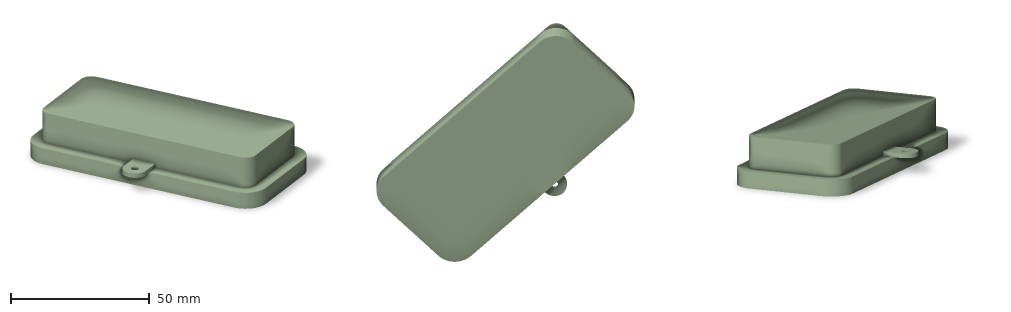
import cadquery as cq

flange_length = 95.3
flange_width = 45.1
flange_height = 6.3
flange_corner_radius = 8.4

overall_height = 18.2
body_length = 86.7
body_width = 36.3
body_height = overall_height - flange_height
body_corner_radius = 4.2

tab_overhang = 7.1
tab_width = 9.0
tab_thickness = 1.7
tab_hole_diameter = 3.0
tab_end_radius = tab_width / 2
tab_root_y = -body_width / 2
tab_arc_center_y = -flange_width / 2 - tab_overhang + tab_end_radius


def rounded_block(length, width, height, corner_radius, base_z):
    """Upright block with rounded vertical corners, centred on the Z axis."""
    block = cq.Workplane("XY").workplane(offset=base_z).rect(length, width).extrude(height)
    return block.edges("|Z").fillet(corner_radius)


def eyelet_tab():
    """Round-ended tab running from the body wall, with its hole on the arc centre."""
    half_width = tab_width / 2
    outline = (
        cq.Workplane("XY")
        .workplane(offset=flange_height)
        .moveTo(-half_width, tab_root_y)
        .lineTo(-half_width, tab_arc_center_y)
        .threePointArc((0, tab_arc_center_y - tab_end_radius), (half_width, tab_arc_center_y))
        .lineTo(half_width, tab_root_y)
        .close()
    )
    hole = (
        cq.Workplane("XY")
        .workplane(offset=flange_height)
        .center(0, tab_arc_center_y)
        .circle(tab_hole_diameter / 2)
        .extrude(tab_thickness)
    )
    return outline.extrude(tab_thickness).cut(hole)


flange = rounded_block(flange_length, flange_width, flange_height, flange_corner_radius, 0)
body = rounded_block(body_length, body_width, body_height, body_corner_radius, flange_height)

result = flange.union(body).union(eyelet_tab())